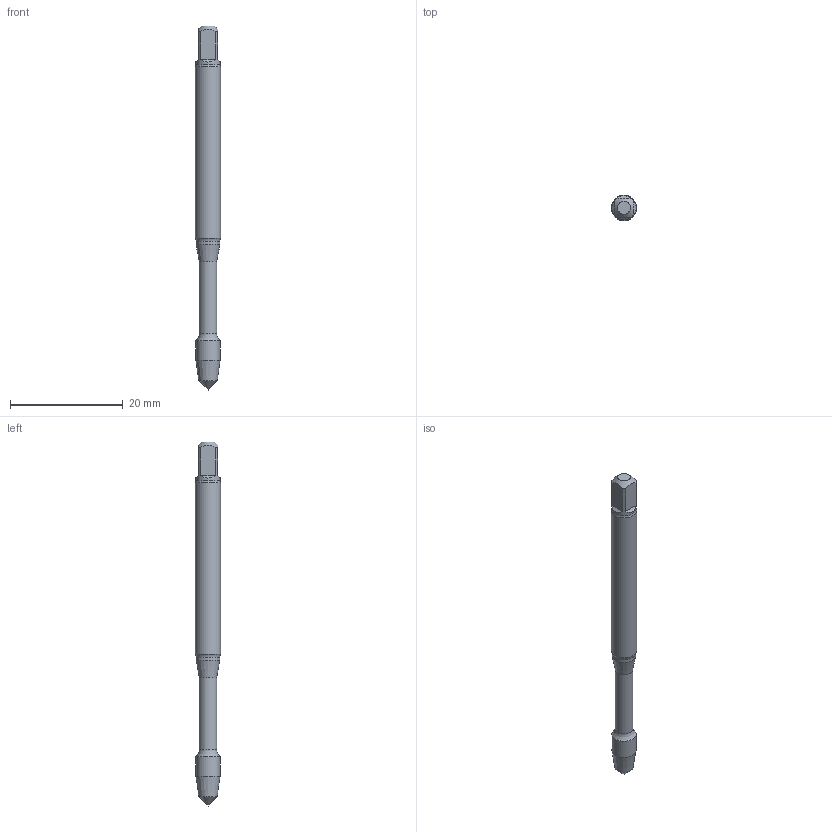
import cadquery as cq
import math

total_length = 64.6

drive_diameter = 4.3
shank_diameter = 4.5
collar_diameter = 4.2
neck_diameter = 3.1
thread_diameter = 4.28
lead_end_diameter = 3.3

collar_step_z = 26.9
collar_bottom_z = 25.85
neck_top_z = 22.75
thread_top_z = 8.75
thread_bottom_z = 5.25
point_base_z = lead_end_diameter / 2

square_across_flats = 3.4
drive_chamfer = 1.0
flat_length = 5.95
flat_runout_angle = 45.0
drive_length = 6.83

shank_fillet_radius = 1.0
neck_fillet_radius = 1.5


def fillet_height(radius, radial_step):
    """Axial length of an arc that starts along the axis and moves outward by radial_step."""
    return math.sqrt(radius**2 - (radius - radial_step) ** 2)


def fillet_middle(fillet_radius, thin_radius, thick_radius, tangent_z, direction):
    """Middle point of a concave arc tangent to the thin section at tangent_z.

    direction is 1 where the thick section lies above the thin one, and -1 where it lies below.
    """
    half_sweep = math.acos(1 - (thick_radius - thin_radius) / fillet_radius) / 2
    radius = thin_radius + fillet_radius * (1 - math.cos(half_sweep))
    z = tangent_z + direction * fillet_radius * math.sin(half_sweep)
    return radius, z


def make_shank_blank():
    """Turned body from the drive end down to the flared lower end of the neck."""
    drive_r = drive_diameter / 2
    shank_r = shank_diameter / 2
    collar_r = collar_diameter / 2
    neck_r = neck_diameter / 2
    thread_r = thread_diameter / 2

    drive_bottom_z = total_length - drive_length
    shank_top_z = drive_bottom_z - fillet_height(shank_fillet_radius, shank_r - drive_r)
    collar_top_z = collar_step_z - fillet_height(shank_fillet_radius, shank_r - collar_r)
    neck_bottom_z = thread_top_z + fillet_height(neck_fillet_radius, thread_r - neck_r)

    drive_arc_middle = fillet_middle(shank_fillet_radius, drive_r, shank_r, drive_bottom_z, -1)
    collar_arc_middle = fillet_middle(shank_fillet_radius, collar_r, shank_r, collar_top_z, 1)
    neck_arc_middle = fillet_middle(neck_fillet_radius, neck_r, thread_r, neck_bottom_z, -1)

    return (
        cq.Workplane("XZ")
        .moveTo(0, thread_top_z)
        .lineTo(thread_r, thread_top_z)
        .threePointArc(neck_arc_middle, (neck_r, neck_bottom_z))
        .lineTo(neck_r, neck_top_z)
        .lineTo(collar_r, collar_bottom_z)
        .lineTo(collar_r, collar_top_z)
        .threePointArc(collar_arc_middle, (shank_r, collar_step_z))
        .lineTo(shank_r, shank_top_z)
        .threePointArc(drive_arc_middle, (drive_r, drive_bottom_z))
        .lineTo(drive_r, total_length - drive_chamfer)
        .lineTo(drive_r - drive_chamfer, total_length)
        .lineTo(0, total_length)
        .close()
        .revolve(360, (0, 0), (0, 1))
    )


def make_flat_cutter():
    """Cutter for the flat on +X, with a sloping lower end."""
    flat_x = square_across_flats / 2
    outer_x = shank_diameter / 2
    flat_bottom_z = total_length - flat_length
    runout_drop = (outer_x - flat_x) * math.tan(math.radians(flat_runout_angle))
    return (
        cq.Workplane("XZ")
        .moveTo(flat_x, total_length)
        .lineTo(flat_x, flat_bottom_z)
        .lineTo(outer_x, flat_bottom_z - runout_drop)
        .lineTo(outer_x, total_length)
        .close()
        .extrude(shank_diameter / 2, both=True)
    )


def make_shank():
    """Shank with its four drive flats."""
    body = make_shank_blank()
    cutter = make_flat_cutter()
    for angle in (0, 90, 180, 270):
        body = body.cut(cutter.rotate((0, 0, 0), (0, 0, 1), angle))
    return body


def make_threaded_head():
    """Cutting head: plain thread envelope, tapered lead and conical point."""
    return (
        cq.Workplane("XZ")
        .moveTo(0, 0)
        .lineTo(lead_end_diameter / 2, point_base_z)
        .lineTo(thread_diameter / 2, thread_bottom_z)
        .lineTo(thread_diameter / 2, thread_top_z)
        .lineTo(0, thread_top_z)
        .close()
        .revolve(360, (0, 0), (0, 1))
    )


shank = make_shank()
threaded_head = make_threaded_head()

result = cq.Compound.makeCompound([shank.val(), threaded_head.val()])